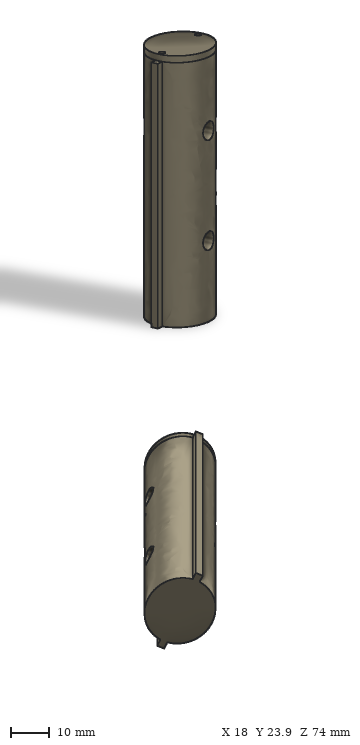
import cadquery as cq

total_height = 74.0
width_x = 18.0
width_y = 20.0
cap_thickness = 1.85
body_height = total_height - cap_thickness

key_width = 2.0
key_span = 23.9

cross_hole_diameter = 5.0
cross_hole_spacing = 30.0
cross_hole_mid_height = total_height / 2

cap_hole_diameter = 1.7
cap_hole_spacing = 17.0


def elliptical_column(base_height, height):
    """Upright column with the shared elliptical section."""
    return (
        cq.Workplane("XY")
        .workplane(offset=base_height)
        .ellipse(width_x / 2, width_y / 2)
        .extrude(height)
    )


def make_body():
    """Solid column with two keys and two cross holes."""
    key_bar = cq.Workplane("XY").rect(key_width, key_span).extrude(body_height)
    cross_holes = (
        cq.Workplane("YZ")
        .center(0, cross_hole_mid_height)
        .rarray(0.75, cross_hole_spacing, 1, 2)
        .circle(cross_hole_diameter / 2)
        .extrude(width_x, both=True)
    )
    return elliptical_column(0, body_height).union(key_bar).cut(cross_holes)


def make_cap():
    """Flat cap resting on the body, with two through holes."""
    cap_holes = (
        cq.Workplane("XY")
        .workplane(offset=body_height)
        .rarray(0.75, cap_hole_spacing, 1, 2)
        .circle(cap_hole_diameter / 2)
        .extrude(cap_thickness)
    )
    return elliptical_column(body_height, cap_thickness).cut(cap_holes)


body = make_body()
cap = make_cap()

result = cq.Compound.makeCompound([body.solids().val(), cap.solids().val()])